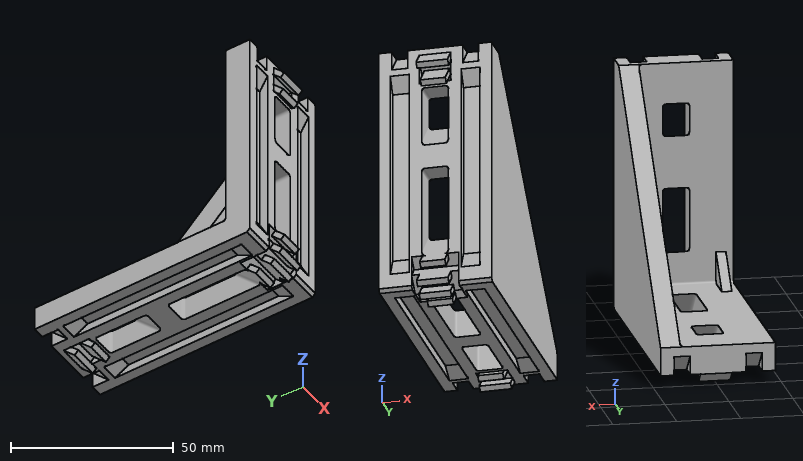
import cadquery as cq

total_size = 84.0
bracket_width = 36.0
leg_length = 80.0
leg_thickness = 9.0
gusset_thickness = 6.2
fillet_radius = 1.0
outer_chamfer = 1.1

slot_width = 8.4
long_slot_bottom = 10.7
long_slot_top = 39.9
short_slot_bottom = 47.7
short_slot_top = 66.9

column_offset = 11.3
groove_width = 6.0
groove_depth = 2.9
groove_bottom = 5.6
groove_top = 71.9
groove_bottom_run = 5.55
groove_top_run = 5.05
end_notch_width = 5.05
end_notch_size = 6.0

lug_drop = 2.85
wide_lug_width = 10.0
narrow_lug_width = 8.0
end_lug_height = 78.0
short_slot_lug_height = 71.35
corner_lug_height = 4.5
end_lug_reach = total_size - leg_length
short_slot_lug_reach = 2.9
corner_lug_reach = 3.45

end_pocket_top = 75.8
end_pocket_bottom = short_slot_lug_height - lug_drop
corner_pocket_width = 15.0

rib_thickness = 3.1
rib_size = 10.0
rib_inset = 2.4

overcut = 0.8


def prism(points, width, center_x=0):
    """Extrude a (y, z) outline symmetrically about the plane x = center_x."""
    outline = cq.Workplane("YZ").polyline(points).close()
    return outline.extrude(width / 2, both=True).translate((center_x, 0, 0))


def on_other_leg(shape):
    """The same shape on the leg that lies along Y."""
    return shape.mirror((0, 1, -1))


def bracket_blank():
    """Two legs and a side gusset, with filleted inner corners."""
    legs = prism(
        [
            (0, 0),
            (leg_length, 0),
            (leg_length, leg_thickness),
            (leg_thickness, leg_thickness),
            (leg_thickness, leg_length),
            (0, leg_length),
        ],
        bracket_width,
    )
    gusset = prism(
        [
            (leg_thickness, leg_thickness),
            (leg_length, leg_thickness),
            (leg_thickness, leg_length),
        ],
        gusset_thickness,
        (bracket_width - gusset_thickness) / 2,
    )
    gusset_face_x = bracket_width / 2 - gusset_thickness
    near_corner = cq.selectors.BoxSelector(
        (-bracket_width, leg_thickness - overcut, leg_thickness - overcut),
        (gusset_face_x + overcut, leg_thickness + overcut, leg_thickness + overcut),
    )
    along_upright = cq.selectors.BoxSelector(
        (gusset_face_x - overcut, leg_thickness - overcut, leg_thickness),
        (gusset_face_x + overcut, leg_thickness + overcut, leg_length),
    )
    along_base = cq.selectors.BoxSelector(
        (gusset_face_x - overcut, leg_thickness, leg_thickness - overcut),
        (gusset_face_x + overcut, leg_length, leg_thickness + overcut),
    )
    blank = legs.union(gusset)
    return blank.edges(near_corner + along_upright + along_base).fillet(fillet_radius)


def corner_chamfer(size, width):
    """Wedge that takes the sharp outer corner off."""
    return prism([(-size, 2 * size), (-size, -size), (2 * size, -size)], width)


def slot(bottom, top):
    """Slot with a square upper end and a lower end that rises inwards at 45 degrees."""
    inner_y = leg_thickness + overcut
    cutter = prism(
        [
            (-overcut, bottom - overcut),
            (inner_y, bottom + inner_y),
            (inner_y, top),
            (-overcut, top),
        ],
        slot_width,
    )
    return cutter.edges("|Y or |(0,1,1)").fillet(fillet_radius)


def groove(center_x):
    """Long blind groove with sloped ends."""
    return prism(
        [
            (0, groove_bottom),
            (groove_depth, groove_bottom + groove_bottom_run),
            (groove_depth, groove_top - groove_top_run),
            (0, groove_top),
        ],
        groove_width,
        center_x,
    )


def end_notch(center_x):
    """Triangular notch in the end of a leg."""
    return prism(
        [
            (0, leg_length),
            (end_notch_size, leg_length),
            (0, leg_length - end_notch_size),
        ],
        end_notch_width,
        center_x,
    )


def pocket(bottom, top, width):
    """Right-angled V cut into the outer face."""
    depth = (top - bottom) / 2
    return prism([(0, bottom), (depth, bottom + depth), (0, top)], width)


def lug(height, reach, width, root_height):
    """Flat bar pointing out and down at 45 degrees.

    Its square root end lies in the 45-degree plane that crosses the outer
    face at root_height.
    """
    upper_root_y = (root_height - height) / 2
    half_drop = lug_drop / 2
    return prism(
        [
            (upper_root_y, height + upper_root_y),
            (-reach, height - reach),
            (-reach + half_drop, height - reach - half_drop),
            (upper_root_y + half_drop, height + upper_root_y - half_drop),
        ],
        width,
    )


def make_bracket():
    cutters = [
        slot(long_slot_bottom, long_slot_top),
        slot(short_slot_bottom, short_slot_top),
        pocket(end_pocket_bottom, end_pocket_top, wide_lug_width),
        pocket(corner_lug_height, long_slot_bottom, corner_pocket_width),
    ]
    for center_x in (-column_offset, column_offset):
        cutters.append(groove(center_x))
        cutters.append(end_notch(center_x))

    lugs = [
        lug(end_lug_height, end_lug_reach, wide_lug_width, end_lug_height),
        lug(short_slot_lug_height, short_slot_lug_reach, narrow_lug_width, end_pocket_top),
        lug(long_slot_bottom, corner_lug_reach, narrow_lug_width, long_slot_bottom),
        lug(corner_lug_height, corner_lug_reach, wide_lug_width, corner_lug_height),
    ]

    body = bracket_blank()
    body = body.cut(corner_chamfer(outer_chamfer, bracket_width))
    body = body.cut(corner_chamfer(corner_lug_height, corner_pocket_width))
    for cutter in cutters:
        body = body.cut(cutter).cut(on_other_leg(cutter))
    for bar in lugs:
        body = body.union(bar).union(on_other_leg(bar))
    return body


def make_rib(bracket):
    """Triangular rib in the inner corner, shaped to the fillet it sits on."""
    center_x = -bracket_width / 2 + rib_inset + rib_thickness / 2
    blank = prism(
        [
            (leg_thickness, leg_thickness),
            (leg_thickness + rib_size, leg_thickness),
            (leg_thickness, leg_thickness + rib_size),
        ],
        rib_thickness,
        center_x,
    )
    return blank.cut(bracket)


bracket = make_bracket()
rib = make_rib(bracket)

result = cq.Compound.makeCompound([bracket.val(), rib.val()])